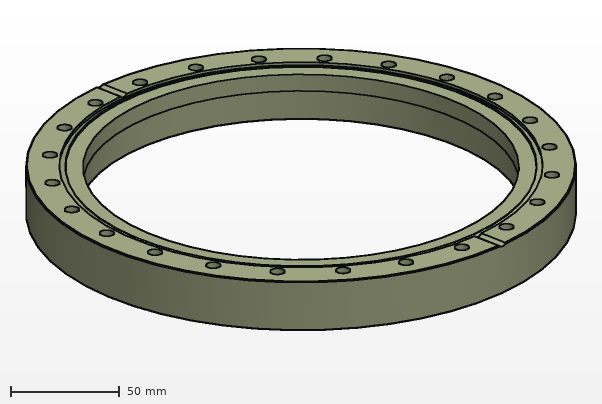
import cadquery as cq
import math

outer_diameter = 253.0
thickness = 25.0
edge_chamfer = 0.5

bore_diameter = 200.5
socket_diameter = 204.5
bore_length = 8.4

recess_diameter = 222.3
knife_diameter = 217.0
inner_face_depth = 1.1
knife_height = 0.6
knife_inner_run = 0.3
knife_slope = 20.0

bolt_count = 24
bolt_circle_diameter = 231.8
bolt_hole_diameter = 6.7

groove_width = 4.4
groove_depth = 1.0
groove_lead_in = 0.5


def flange_profile():
    """Half section of the ring: X is the radius and Y is the height."""
    outer_radius = outer_diameter / 2
    bore_radius = bore_diameter / 2
    socket_radius = socket_diameter / 2
    recess_radius = recess_diameter / 2
    knife_radius = knife_diameter / 2
    inner_face = thickness - inner_face_depth
    knife_tip = inner_face + knife_height
    flank_drop = (recess_radius - knife_radius) * math.tan(math.radians(knife_slope))
    step_height = inner_face - bore_length
    return (
        cq.Workplane("XZ")
        .moveTo(socket_radius, edge_chamfer)
        .lineTo(socket_radius + edge_chamfer, 0)
        .lineTo(outer_radius - edge_chamfer, 0)
        .lineTo(outer_radius, edge_chamfer)
        .lineTo(outer_radius, thickness - edge_chamfer)
        .lineTo(outer_radius - edge_chamfer, thickness)
        .lineTo(recess_radius, thickness)
        .lineTo(recess_radius, knife_tip - flank_drop)
        .lineTo(knife_radius, knife_tip)
        .lineTo(knife_radius - knife_inner_run, inner_face)
        .lineTo(bore_radius, inner_face)
        .lineTo(bore_radius, step_height)
        .lineTo(socket_radius, step_height)
        .close()
    )


def flange_ring():
    return flange_profile().revolve(360, (0, 0, 0), (0, 1, 0))


def bolt_holes():
    half_pitch = 180 / bolt_count
    return (
        cq.Workplane("XY")
        .polarArray(bolt_circle_diameter / 2, half_pitch, 360, bolt_count)
        .circle(bolt_hole_diameter / 2)
        .extrude(thickness)
    )


def leak_check_groove(side):
    """Groove along X; side is +1 or -1 for the end of the X axis it lies on."""
    half_width = groove_width / 2
    groove_radius = (half_width**2 + groove_depth**2) / (2 * groove_depth)
    axis_height = thickness - groove_depth + groove_radius
    start = recess_diameter / 2 - groove_lead_in
    return (
        cq.Workplane("YZ", origin=(side * start, 0, 0))
        .center(0, axis_height)
        .circle(groove_radius)
        .extrude(side * (outer_diameter / 2 - start))
    )


result = flange_ring().cut(bolt_holes())
for side in (-1, 1):
    result = result.cut(leak_check_groove(side))